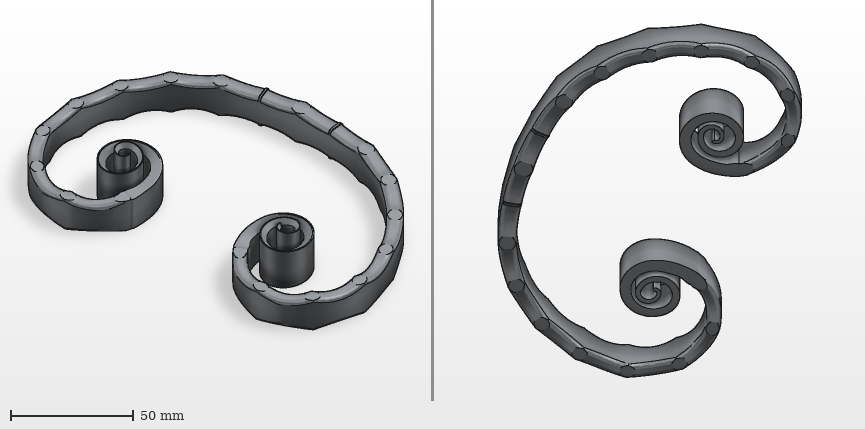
import cadquery as cq
import math

START_Y = 48.5
BAR_ARCS = [(131.5, 12.7), (61.9, 29.9), (69.3, 40.5), (35.3, 57.8), (25.0, 143.0)]
COIL_ARCS = [(13.2, 36.0), (11.2, 177.0), (8.0, 219.0), (4.3, 192.0), (2.0, 109.0)]
ARCS = BAR_ARCS + COIL_ARCS

PATH_LENGTH = sum(radius * math.radians(sweep) for radius, sweep in ARCS)
SIDE_DISTANCE = 110.6
COIL_START = 191.2
WIDTH_STOPS = [(0.0, 8.1), (SIDE_DISTANCE, 6.5), (COIL_START, 6.0), (PATH_LENGTH, 1.5)]

BAR_HEIGHT = 16.3
SLAB_SIDE = 330.2
TOTAL_HEIGHT = 24.0
RISE_START = 207.5

NODES = [36.7, 57.5, 78.8, 99.9, 121.3, 143.3, 165.8, 188.5]
EDGE_RADIUS = 2.0
DIP_DEPTH = 1.07
SCALLOP_RISE = 2.0
SECTIONS_PER_SCALLOP = 5
EDGE_OVERHANG = 0.03
CUTTER_MARGIN = 1.7

RIB_DISTANCE = 18.0
RIB_THICKNESS = 1.0
VALLEY_OFFSET = 11.9

RIM_SHARE = 0.15
TIP_SLOPE = 1.4

MAX_STEP_ANGLE = 18.0
MAX_STEP_LENGTH = 6.6
MIN_STEP = 0.5


def path_point(distance):
    """Centreline point and heading angle at a distance from the symmetry plane."""
    x, y, heading = 0.0, START_Y, math.pi
    for radius, sweep in ARCS:
        length = min(distance, radius * math.radians(sweep))
        center_x = x - radius * math.sin(heading)
        center_y = y + radius * math.cos(heading)
        heading += length / radius
        x = center_x + radius * math.sin(heading)
        y = center_y - radius * math.cos(heading)
        distance -= length
        if distance <= 0:
            break
    return x, y, heading


def band_width(distance):
    for (start, start_width), (end, end_width) in zip(WIDTH_STOPS, WIDTH_STOPS[1:]):
        if distance <= end:
            break
    share = (distance - start) / (end - start)
    return start_width + share * (end_width - start_width)


def section_plane(distance):
    """Plane across the band: local x points outwards, local y points up."""
    x, y, heading = path_point(distance)
    outward = (math.sin(heading), -math.cos(heading), 0)
    backward = (-math.cos(heading), -math.sin(heading), 0)
    return cq.Plane(origin=(x, y, 0), xDir=outward, normal=backward)


def path_stops(start, end):
    """Distances at which to place sections: evenly over every arc between start and end."""
    stops = [start]
    arc_start = 0.0
    for radius, sweep in ARCS:
        arc_length = radius * math.radians(sweep)
        steps = math.ceil(max(sweep / MAX_STEP_ANGLE, arc_length / MAX_STEP_LENGTH))
        for step in range(1, steps + 1):
            distance = arc_start + arc_length * step / steps
            if start + MIN_STEP < distance < end - MIN_STEP:
                stops.append(distance)
        arc_start += arc_length
    return stops + [end]


def plain_section(distance):
    plane = section_plane(distance)
    return cq.Workplane(plane).rect(band_width(distance), 2 * BAR_HEIGHT).val()


def plain_bar():
    """Bar of full height with square edges, from the symmetry plane to the coil."""
    sections = [plain_section(distance) for distance in path_stops(0, COIL_START)]
    slab = cq.Workplane().box(SLAB_SIDE, SLAB_SIDE, BAR_HEIGHT, centered=(True, True, False))
    return cq.Workplane(cq.Solid.makeLoft(sections)).intersect(slab)


def cutter_section(distance, lift):
    """Area above the rounded top; lift is the height of its flat strip above the bar height."""
    half_width = band_width(distance) / 2 + EDGE_OVERHANG
    strip = half_width - EDGE_RADIUS
    flat = BAR_HEIGHT + lift
    side = flat - EDGE_RADIUS
    diagonal = EDGE_RADIUS * math.sqrt(0.5)
    middle = side + diagonal
    reach = half_width + CUTTER_MARGIN
    ceiling = BAR_HEIGHT + EDGE_RADIUS + CUTTER_MARGIN
    return (
        cq.Workplane(section_plane(distance))
        .moveTo(-strip, flat)
        .lineTo(strip, flat)
        .threePointArc((strip + diagonal, middle), (half_width, side))
        .lineTo(reach, side)
        .lineTo(reach, ceiling)
        .lineTo(-reach, ceiling)
        .lineTo(-reach, side)
        .lineTo(-half_width, side)
        .threePointArc((-strip - diagonal, middle), (-strip, flat))
        .close()
        .val()
    )


def scallop_cutter(start, end, valley, half_length):
    """Cutter for a rounded top that dips along a parabola, lowest at the valley."""
    sections = []
    for index in range(SECTIONS_PER_SCALLOP):
        distance = start + (end - start) * index / (SECTIONS_PER_SCALLOP - 1)
        lift = SCALLOP_RISE * ((distance - valley) / half_length) ** 2 - DIP_DEPTH
        sections.append(cutter_section(distance, lift))
    return cq.Solid.makeLoft(sections)


def scalloped_bar():
    rib_start = RIB_DISTANCE - RIB_THICKNESS / 2
    rib_end = RIB_DISTANCE + RIB_THICKNESS / 2
    first_node = NODES[0]
    cutters = [
        scallop_cutter(0, rib_start, VALLEY_OFFSET, VALLEY_OFFSET),
        scallop_cutter(rib_end, first_node, first_node - VALLEY_OFFSET, VALLEY_OFFSET),
        cq.Solid.makeLoft([cutter_section(rib_start, 0), cutter_section(rib_end, 0)]),
    ]
    for start, end in zip(NODES, NODES[1:]):
        half_length = (end - start) / 2
        cutters.append(scallop_cutter(start, end, start + half_length, half_length))
    bar = plain_bar()
    for cutter in cutters:
        top = cq.Workplane(cutter)
        bar = bar.cut(top).cut(top.mirror("XY", (0, 0, BAR_HEIGHT / 2)))
    return bar


def coil_section(distance):
    width = band_width(distance)
    rise_share = max(0.0, (distance - RISE_START) / (PATH_LENGTH - RISE_START))
    slope = TIP_SLOPE * (distance - COIL_START) / (PATH_LENGTH - COIL_START)
    top = BAR_HEIGHT + rise_share * (TOTAL_HEIGHT - BAR_HEIGHT)
    outer = width / 2
    rim = outer - RIM_SHARE * width
    inner_top = top - slope * (1 - RIM_SHARE) * width
    points = [(-outer, 0), (outer, 0), (outer, top), (rim, top), (-outer, inner_top)]
    return cq.Workplane(section_plane(distance)).polyline(points).close().val()


def coil():
    """Rising spiral from the last node to the tip."""
    sections = [coil_section(distance) for distance in path_stops(COIL_START, PATH_LENGTH)]
    return cq.Workplane(cq.Solid.makeLoft(sections))


half = scalloped_bar().union(coil())
result = half.union(half.mirror("YZ"))